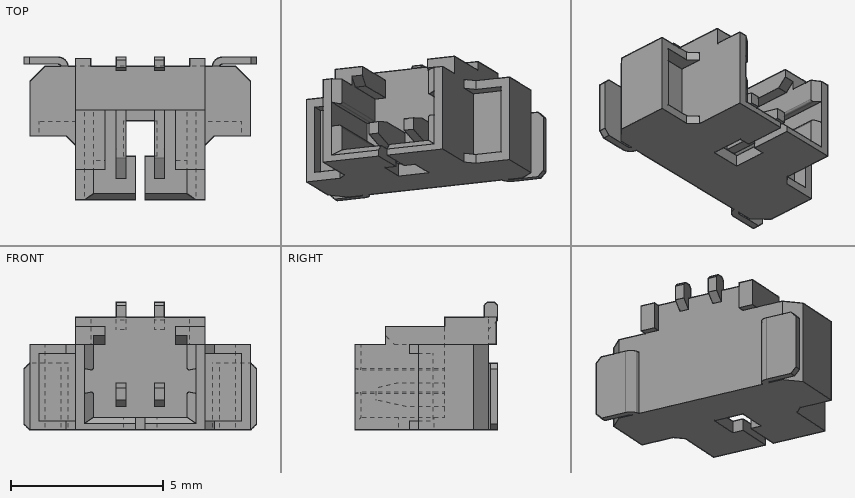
import cadquery as cq

OVERALL_WIDTH = 7.65
OVERALL_DEPTH = 4.7
OVERALL_HEIGHT = 4.2
WALL = 0.3

BODY_WIDTH = 4.27
BODY_BACK = 4.4
BODY_TOP = 3.7
SHOULDER_TOP = 2.81
OVERHANG_TOP = BODY_TOP - WALL
OVERHANG_FRONT = 1.0
EAR_WIDTH = 0.51
EAR_DEPTH = 0.25

CAVITY_BACK = 2.95
CAVITY_WIDTH = BODY_WIDTH - 4 * WALL
CAVITY_FLOOR = 0.41
TOP_OPENING_WIDTH = 2.325
FLARE_DEPTH = 0.21
GROOVE_CENTER_Z = 1.61
GROOVE_HEIGHT = 0.73
GROOVE_SLOPE_RISE = 0.045
GROOVE_EDGE_RADIUS = 0.08

SLOT_WIDTH = WALL
WINDOW_WIDTH = 1.09
WINDOW_FRONT = 1.44
WINDOW_BACK = 2.6

WING_WIDTH = 7.25
WING_FRONT = 2.095
WING_CHAMFER = 0.5
POCKET_DEPTH = 0.48

TAB_THICKNESS = 0.24
TAB_HEIGHT = 2.195
TAB_CHAMFER = 0.19
TAB_LEG_X = 2.365
TAB_BEND_INNER_RADIUS = 0.1
TAB_EMBED = 0.23

PIN_PITCH = 1.255
PIN_WIDTH = 0.33
PIN_BOTTOM = 0.77
PIN_TOP = 1.54
PIN_TIP_Y = 0.7
PIN_TIP_BOTTOM = 0.99
PIN_TIP_TOP = 1.38
PIN_UPPER_TAPER = 0.68
PIN_LOWER_TAPER = 0.97
PIN_TAIL_DEPTH = 0.45
PIN_TAIL_CHAMFER = 0.11
PIN_TAIL_HEEL_Z = 3.6

CLEARANCE = 0.08


def block(x0, x1, y0, y1, z0, z1):
    """Box between opposite corners."""
    return cq.Workplane("XY").box(x1 - x0, y1 - y0, z1 - z0, centered=False).translate((x0, y0, z0))


def centered_block(width, y0, y1, z0, z1):
    """Box centred on X = 0."""
    return block(-width / 2, width / 2, y0, y1, z0, z1)


def mirrored(shape):
    """The shape together with its mirror image across X = 0."""
    return shape.union(shape.mirror("YZ"))


def body():
    """Stepped housing block with two ears at the upper back edge."""
    lower = centered_block(BODY_WIDTH, 0, BODY_BACK, 0, SHOULDER_TOP)
    overhang = centered_block(BODY_WIDTH, OVERHANG_FRONT, BODY_BACK, SHOULDER_TOP, OVERHANG_TOP)
    back = centered_block(BODY_WIDTH, CAVITY_BACK, BODY_BACK, SHOULDER_TOP, BODY_TOP)
    half = BODY_WIDTH / 2
    ear = block(half - EAR_WIDTH, half, BODY_BACK, BODY_BACK + EAR_DEPTH, SHOULDER_TOP, BODY_TOP)
    return lower.union(overhang).union(back).union(mirrored(ear))


def wing():
    """Wing on the +X side, with a pocket open at the front and towards the body."""
    inner = BODY_WIDTH / 2
    outer = WING_WIDTH / 2
    plate = (
        cq.Workplane("XY")
        .moveTo(inner, WING_FRONT - WALL)
        .lineTo(inner + WALL, WING_FRONT)
        .lineTo(outer, WING_FRONT)
        .lineTo(outer, BODY_BACK - WING_CHAMFER)
        .lineTo(outer - WING_CHAMFER, BODY_BACK)
        .lineTo(inner, BODY_BACK)
        .close()
        .extrude(SHOULDER_TOP)
    )
    pocket = block(inner, outer - WALL, 0, WING_FRONT + POCKET_DEPTH, WALL, SHOULDER_TOP - WALL)
    return plate.cut(pocket)


def solder_tab():
    """Bent strip on the +X side, leaving the back of the wing and turning outwards."""
    outer_radius = TAB_BEND_INNER_RADIUS + TAB_THICKNESS
    bend_x = TAB_LEG_X + outer_radius
    bend_y = OVERALL_DEPTH - outer_radius
    end_x = OVERALL_WIDTH / 2
    root_y = BODY_BACK - TAB_EMBED
    strip = (
        cq.Workplane("XY")
        .moveTo(TAB_LEG_X, root_y)
        .lineTo(TAB_LEG_X, bend_y)
        .radiusArc((bend_x, OVERALL_DEPTH), outer_radius)
        .lineTo(end_x, OVERALL_DEPTH)
        .lineTo(end_x, OVERALL_DEPTH - TAB_THICKNESS)
        .lineTo(bend_x, OVERALL_DEPTH - TAB_THICKNESS)
        .radiusArc((TAB_LEG_X + TAB_THICKNESS, bend_y), -TAB_BEND_INNER_RADIUS)
        .lineTo(TAB_LEG_X + TAB_THICKNESS, root_y)
        .close()
        .extrude(TAB_HEIGHT)
    )
    return strip.faces(">X").edges("|Y").chamfer(TAB_CHAMFER)


def side_groove():
    """Cutter for the groove in the +X cavity wall, with rounded, sloping edges."""
    inner = CAVITY_WIDTH / 2
    deep = inner + WALL
    edge = GROOVE_HEIGHT / 2
    profile_top = GROOVE_CENTER_Z + edge
    profile_bottom = GROOVE_CENTER_Z - edge
    r = GROOVE_EDGE_RADIUS
    return (
        cq.Workplane("XZ")
        .moveTo(inner, profile_bottom - r)
        .radiusArc((inner + r, profile_bottom), r)
        .lineTo(deep, profile_bottom - GROOVE_SLOPE_RISE)
        .lineTo(deep, profile_top + GROOVE_SLOPE_RISE)
        .lineTo(inner + r, profile_top)
        .radiusArc((inner, profile_top + r), r)
        .close()
        .extrude(-CAVITY_BACK)
    )


def flared_mouth():
    """Cutter that widens the cavity towards the mating face at its sides and floor."""
    top = SHOULDER_TOP

    def opening(width, floor):
        return [(-width / 2, floor), (width / 2, floor), (width / 2, top), (-width / 2, top)]

    return (
        cq.Workplane("XZ")
        .polyline(opening(CAVITY_WIDTH + 2 * WALL, CAVITY_FLOOR - FLARE_DEPTH))
        .close()
        .workplane(offset=-FLARE_DEPTH)
        .polyline(opening(CAVITY_WIDTH, CAVITY_FLOOR))
        .close()
        .loft(ruled=True)
    )


def overhang_chamfer():
    """Cutter for the sloping front underside of the overhangs, as wide as the cavity."""
    return (
        cq.Workplane("YZ")
        .moveTo(OVERHANG_FRONT, SHOULDER_TOP)
        .lineTo(OVERHANG_FRONT + WALL, SHOULDER_TOP)
        .lineTo(OVERHANG_FRONT, SHOULDER_TOP + WALL)
        .close()
        .extrude(CAVITY_WIDTH / 2, both=True)
    )


def cavity():
    """Cutter for the whole mating cavity, open at the front and the top."""
    main = centered_block(CAVITY_WIDTH, 0, CAVITY_BACK, CAVITY_FLOOR, SHOULDER_TOP)
    top_opening = centered_block(TOP_OPENING_WIDTH, 0, CAVITY_BACK, SHOULDER_TOP, OVERHANG_TOP)
    return (
        main.union(top_opening)
        .union(mirrored(side_groove()))
        .union(flared_mouth())
        .union(overhang_chamfer())
    )


def floor_openings():
    """Cutter for the front slot and the wider window behind it."""
    floor_span = (-CLEARANCE, CAVITY_FLOOR + CLEARANCE)
    slot = centered_block(SLOT_WIDTH, -CLEARANCE, WINDOW_FRONT, *floor_span)
    window = centered_block(WINDOW_WIDTH, WINDOW_FRONT, WINDOW_BACK, *floor_span)
    return slot.union(window)


def pin_blade():
    """Horizontal contact blade with a tapered tip, running into the back wall."""
    root_y = (CAVITY_BACK + BODY_BACK) / 2
    return (
        cq.Workplane("YZ")
        .moveTo(root_y, PIN_BOTTOM)
        .lineTo(PIN_TIP_Y + PIN_LOWER_TAPER, PIN_BOTTOM)
        .lineTo(PIN_TIP_Y, PIN_TIP_BOTTOM)
        .lineTo(PIN_TIP_Y, PIN_TIP_TOP)
        .lineTo(PIN_TIP_Y + PIN_UPPER_TAPER, PIN_TOP)
        .lineTo(root_y, PIN_TOP)
        .close()
        .extrude(PIN_WIDTH / 2, both=True)
    )


def pin_tail():
    """Upright contact tail standing on the upper back edge of the body."""
    front = OVERALL_DEPTH - PIN_TAIL_DEPTH
    c = PIN_TAIL_CHAMFER
    return (
        cq.Workplane("YZ")
        .moveTo(front, PIN_TAIL_HEEL_Z - PIN_TAIL_DEPTH)
        .lineTo(OVERALL_DEPTH, PIN_TAIL_HEEL_Z)
        .lineTo(OVERALL_DEPTH, OVERALL_HEIGHT - c)
        .lineTo(OVERALL_DEPTH - c, OVERALL_HEIGHT)
        .lineTo(front + c, OVERALL_HEIGHT)
        .lineTo(front, OVERALL_HEIGHT - c)
        .close()
        .extrude(PIN_WIDTH / 2, both=True)
    )


housing = body().cut(cavity()).cut(floor_openings())
housing = housing.union(mirrored(wing().union(solder_tab())))

pin = pin_blade().union(pin_tail())
for pin_x in (-PIN_PITCH / 2, PIN_PITCH / 2):
    housing = housing.union(pin.translate((pin_x, 0, 0)))

result = housing